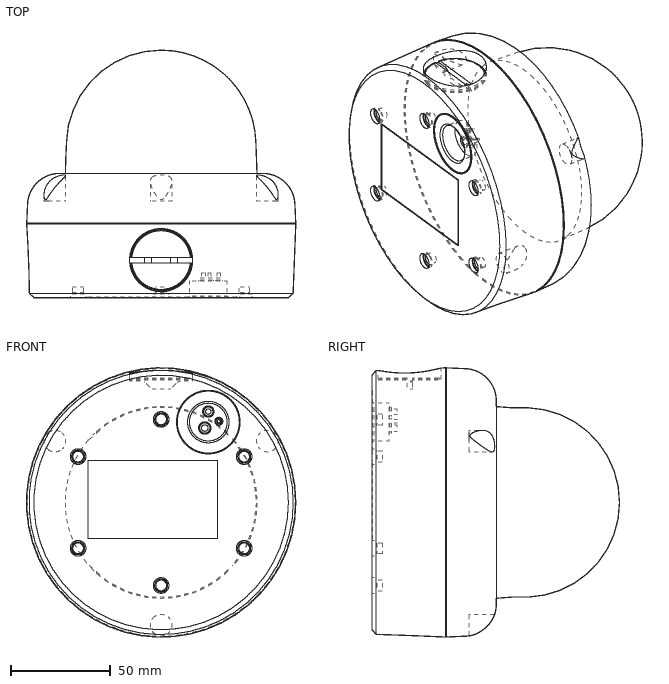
import cadquery as cq
import math


BODY_RADIUS = 67.5
BASE_RADIUS = 66.2
FACE_RADIUS = 63.7
CHAMFER_DEPTH = 2.2
PARTING_Y = 37.0
COVER_ROUND_START_Y = 46.2
COVER_RADIUS = 67.1
COVER_ROUND = 16.2
COVER_TOP_Y = COVER_ROUND_START_Y + COVER_ROUND
PARTING_GROOVE = 0.4

TOTAL_HEIGHT = 124.0
DOME_RADIUS = 47.5
DOME_CENTRE_Y = TOTAL_HEIGHT - DOME_RADIUS
NECK_TAPER = math.radians(2.1)

COVER_SCREW_CIRCLE = 61.4
COVER_SCREW_ANGLES = (30, 150, 270)
COVER_SCREW_RADIUS = 5.4
COVER_SCREW_FLOOR_Y = 48.6

MOUNT_X = 41.6
MOUNT_SIDE_Z = 23.0
MOUNT_END_Z = 41.6
MOUNT_POINTS = [(0, MOUNT_END_Z), (0, -MOUNT_END_Z)]
MOUNT_POINTS += [(sx * MOUNT_X, sz * MOUNT_SIDE_Z) for sx in (-1, 1) for sz in (-1, 1)]
MOUNT_BORE_RADIUS = 3.9
MOUNT_BORE_DEPTH = 2.0
MOUNT_HOLE_RADIUS = 2.7
MOUNT_HOLE_CHAMFER = 0.5
MOUNT_HOLE_DEPTH = 5.4

LABEL_LENGTH = 64.8
LABEL_WIDTH = 38.9
LABEL_CENTRE_X = -4.2
LABEL_CENTRE_Z = 1.5
LABEL_DEPTH = 0.4

GLAND_X = 23.6
GLAND_Z = 40.2
GLAND_RADIUS = 15.9
GLAND_GROOVE = 0.4
GLAND_BORE_RADIUS = 9.5
GLAND_BORE_DEPTH = 8.5
GLAND_CHAMFER = 1.0
CABLE_HOLE_DEPTH = 4.0
CABLE_BORE_DEPTH = 1.4
CABLE_CHAMFER = 0.5
CABLE_HOLES = [
    (0.0, 5.3, 2.8, 1.4),
    (5.3, 0.4, 2.0, 0.8),
    (-1.8, -3.0, 3.1, 1.6),
]

PLUG_Y = 18.9
PLUG_HOLE_RADIUS = 15.8
PLUG_RADIUS = 15.3
PLUG_CHAMFER = 0.5
PLUG_TOP_Z = 62.2
PLUG_GAP_DEPTH = 1.0
SLOT_WIDTH = 2.7
SLOT_END_DEPTH = 1.5
SLOT_STEP_DEPTH = 1.9
SLOT_DEPTH = 5.4
SLOT_STEP_OUTER = 10.0
SLOT_STEP_INNER = 8.2
SLOT_FLOOR_HALF = 4.7


def rod_y(radius, y_start, y_end, x=0.0, z=0.0):
    """Cylinder along Y between two heights."""
    return cq.Workplane(cq.Solid.makeCylinder(
        radius, y_end - y_start, cq.Vector(x, y_start, z), cq.Vector(0, 1, 0)))


def cone_y(radius_start, radius_end, y_start, depth, x=0.0, z=0.0):
    """Cone along +Y starting at y_start."""
    return cq.Workplane(cq.Solid.makeCone(
        radius_start, radius_end, depth, cq.Vector(x, y_start, z), cq.Vector(0, 1, 0)))


def rod_z(radius, z_start, z_end):
    """Cylinder along Z on the plug axis."""
    return cq.Workplane(cq.Solid.makeCylinder(
        radius, z_end - z_start, cq.Vector(0, PLUG_Y, z_start), cq.Vector(0, 0, 1)))


def make_body():
    """Base, rounded cover and dome turned from one half profile."""
    round_centre_r = COVER_RADIUS - COVER_ROUND
    round_mid = COVER_ROUND * math.sqrt(0.5)
    tangent_r = DOME_RADIUS * math.cos(NECK_TAPER)
    tangent_y = DOME_CENTRE_Y + DOME_RADIUS * math.sin(NECK_TAPER)
    neck_r = tangent_r + (tangent_y - COVER_TOP_Y) * math.tan(NECK_TAPER)
    dome_mid = DOME_RADIUS * math.sqrt(0.5)
    profile = (
        cq.Workplane("XY")
        .lineTo(FACE_RADIUS, 0)
        .lineTo(BASE_RADIUS, CHAMFER_DEPTH)
        .lineTo(BODY_RADIUS, PARTING_Y)
        .lineTo(COVER_RADIUS, COVER_ROUND_START_Y)
        .threePointArc(
            (round_centre_r + round_mid, COVER_ROUND_START_Y + round_mid),
            (round_centre_r, COVER_TOP_Y))
        .lineTo(neck_r, COVER_TOP_Y)
        .lineTo(tangent_r, tangent_y)
        .threePointArc((dome_mid, DOME_CENTRE_Y + dome_mid), (0, TOTAL_HEIGHT))
        .close()
    )
    return profile.revolve(360, (0, 0, 0), (0, 1, 0))


def parting_groove():
    """Fine ring groove between base and cover."""
    y_end = PARTING_Y + PARTING_GROOVE
    outer = rod_y(BODY_RADIUS + PARTING_GROOVE, PARTING_Y, y_end)
    return outer.cut(rod_y(BODY_RADIUS - PARTING_GROOVE, PARTING_Y, y_end))


def cover_screw_recess(angle):
    """Blind recess that breaks out through the rounded cover edge."""
    x = COVER_SCREW_CIRCLE * math.cos(math.radians(angle))
    z = COVER_SCREW_CIRCLE * math.sin(math.radians(angle))
    return rod_y(COVER_SCREW_RADIUS, COVER_SCREW_FLOOR_Y, COVER_TOP_Y, x, z)


def mounting_hole(x, z):
    """Counterbored blind hole, chamfered at the counterbore floor."""
    bore = rod_y(MOUNT_BORE_RADIUS, 0, MOUNT_BORE_DEPTH, x, z)
    chamfer = cone_y(
        MOUNT_HOLE_RADIUS + MOUNT_HOLE_CHAMFER, MOUNT_HOLE_RADIUS,
        MOUNT_BORE_DEPTH, MOUNT_HOLE_CHAMFER, x, z)
    hole = rod_y(MOUNT_HOLE_RADIUS, 0, MOUNT_HOLE_DEPTH, x, z)
    return bore.union(chamfer).union(hole)


def label_recess():
    """Shallow rectangle for a label."""
    return cq.Workplane("XY").box(LABEL_LENGTH, LABEL_DEPTH, LABEL_WIDTH).translate(
        (LABEL_CENTRE_X, LABEL_DEPTH / 2, LABEL_CENTRE_Z))


def gland_cut():
    """Ring groove, chamfered bore and the counterbored cable holes in the bore floor."""
    ring = rod_y(GLAND_RADIUS, 0, GLAND_GROOVE, GLAND_X, GLAND_Z)
    ring = ring.cut(rod_y(GLAND_RADIUS - GLAND_GROOVE, 0, GLAND_GROOVE, GLAND_X, GLAND_Z))
    bore = rod_y(GLAND_BORE_RADIUS, 0, GLAND_BORE_DEPTH, GLAND_X, GLAND_Z)
    mouth = cone_y(
        GLAND_BORE_RADIUS + GLAND_CHAMFER, GLAND_BORE_RADIUS, 0, GLAND_CHAMFER, GLAND_X, GLAND_Z)
    cut = bore.union(mouth).union(ring)
    for dx, dz, mouth_radius, hole_radius in CABLE_HOLES:
        x = GLAND_X + dx
        z = GLAND_Z + dz
        bore_radius = mouth_radius - CABLE_CHAMFER
        floor_y = GLAND_BORE_DEPTH
        cut = cut.union(cone_y(mouth_radius, bore_radius, floor_y, CABLE_CHAMFER, x, z))
        cut = cut.union(rod_y(bore_radius, floor_y, floor_y + CABLE_BORE_DEPTH, x, z))
        cut = cut.union(rod_y(hole_radius, floor_y, floor_y + CABLE_HOLE_DEPTH, x, z))
    return cut


def plug_cut():
    """Round pocket down to the chamfered plug, the gap around it and its slot."""
    pocket = rod_z(PLUG_HOLE_RADIUS, PLUG_TOP_Z, BODY_RADIUS)
    gap_floor = PLUG_TOP_Z - PLUG_GAP_DEPTH
    gap = rod_z(PLUG_HOLE_RADIUS, gap_floor, PLUG_TOP_Z)
    plug = rod_z(PLUG_RADIUS, gap_floor, PLUG_TOP_Z).faces(">Z").chamfer(PLUG_CHAMFER)
    gap = gap.cut(plug)
    left_floor = [
        (-PLUG_HOLE_RADIUS, -SLOT_END_DEPTH),
        (-SLOT_STEP_OUTER, -SLOT_END_DEPTH),
        (-SLOT_STEP_INNER, -SLOT_STEP_DEPTH),
        (-SLOT_FLOOR_HALF, -SLOT_DEPTH),
    ]
    right_floor = [(-x, depth) for x, depth in reversed(left_floor)]
    outline = [(-PLUG_HOLE_RADIUS, 0)] + left_floor + right_floor + [(PLUG_HOLE_RADIUS, 0)]
    slot = (
        cq.Workplane("XZ", origin=(0, PLUG_Y, PLUG_TOP_Z))
        .polyline(outline).close()
        .extrude(SLOT_WIDTH / 2, both=True)
    )
    slot = slot.intersect(rod_z(PLUG_HOLE_RADIUS, PLUG_TOP_Z - SLOT_DEPTH, PLUG_TOP_Z))
    return pocket.union(gap).union(slot)


result = make_body().cut(parting_groove())
for angle in COVER_SCREW_ANGLES:
    result = result.cut(cover_screw_recess(angle))
for x, z in MOUNT_POINTS:
    result = result.cut(mounting_hole(x, z))
result = result.cut(label_recess()).cut(gland_cut()).cut(plug_cut())